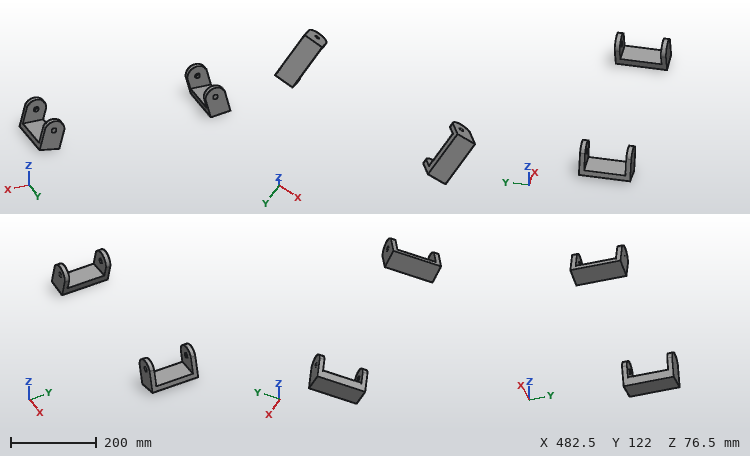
import cadquery as cq
import math

overall_length = 482.5
bracket_width = 122.0
overall_height = 76.5

lean_angle = math.radians(14.5)
cheek_half_width = 25.0
crown_radius = 25.5
heel_height = 7.0
toe_offset = 49.5

cheek_thickness = 12.0
floor_height = 20.3
socket_diameter = 12.0
socket_depth = 9.5

inner_half_width = bracket_width / 2 - cheek_thickness
heel_x = -overall_length / 2
toe_x = heel_x + toe_offset
crown_z = overall_height - crown_radius

crown_x = (
    heel_x
    + (crown_z - heel_height) * math.tan(lean_angle)
    + cheek_half_width / math.cos(lean_angle)
)

shoulder_rise = math.sqrt(crown_radius**2 - cheek_half_width**2)


def crown_point(across, along):
    """Point offset from the crown axis, across and along the leaning cheek."""
    x = crown_x + across * math.cos(lean_angle) + along * math.sin(lean_angle)
    z = crown_z - across * math.sin(lean_angle) + along * math.cos(lean_angle)
    return x, z


def make_block():
    """Solid block with the cheek outline, across the full bracket width."""
    return (
        cq.Workplane("XZ")
        .moveTo(heel_x, heel_height)
        .lineTo(*crown_point(-cheek_half_width, shoulder_rise))
        .threePointArc(
            crown_point(0, crown_radius),
            crown_point(cheek_half_width, shoulder_rise),
        )
        .lineTo(toe_x, 0)
        .close()
        .extrude(bracket_width / 2, both=True)
    )


def make_channel():
    """Space between the cheeks, above the level floor."""
    return (
        cq.Workplane("XY", origin=(heel_x, 0, floor_height))
        .box(
            2 * toe_offset,
            2 * inner_half_width,
            overall_height,
            centered=(False, True, False),
        )
    )


def make_sockets():
    """Blind pin sockets on the crown axis, opening on both inner cheek faces."""
    return (
        cq.Workplane("XZ")
        .center(crown_x, crown_z)
        .circle(socket_diameter / 2)
        .extrude(inner_half_width + socket_depth, both=True)
    )


def make_bracket(mirrored):
    """One bracket leaning toward the middle, on the -X or mirrored +X side."""
    bracket = make_block().cut(make_channel()).cut(make_sockets())
    if mirrored:
        bracket = bracket.mirror("YZ")
    return bracket.val()


brackets = []
for mirrored in (False, True):
    brackets.append(make_bracket(mirrored))

result = cq.Compound.makeCompound(brackets)